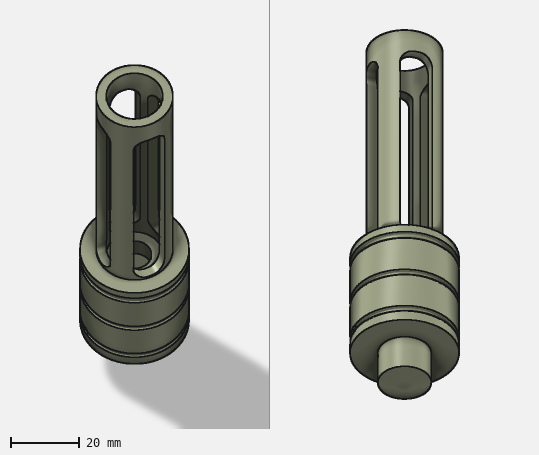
import cadquery as cq

total_height = 124.5
body_diameter = 32.0
body_bottom = 13.5
body_top = 48.7
spigot_diameter = 15.7
spigot_tip_height = 2.5
cage_diameter = 22.5
bore_diameter = 16.5
bore_floor = 45.8
center_hole_diameter = 10.0
center_hole_depth = 6.2
window_width = 10.0
window_bottom = 49.4
window_top = 116.9
window_corner_radius = 4.0
cross_hole_diameter = 2.5

groove_depth = 0.9
lower_groove = (16.8, 18.7)
middle_groove = (30.3, 32.1)
upper_groove = (43.8, 46.1)
grooves = (lower_groove, middle_groove, upper_groove)
cross_hole_height = sum(lower_groove) / 2


def turned_outline():
    """Revolve the outer profile: pointed spigot, grooved body and cage tube."""
    body_radius = body_diameter / 2
    spigot_radius = spigot_diameter / 2
    cage_radius = cage_diameter / 2
    profile = (
        cq.Workplane("XZ")
        .moveTo(0, 0)
        .lineTo(spigot_radius, spigot_tip_height)
        .lineTo(spigot_radius, body_bottom)
        .lineTo(body_radius, body_bottom)
    )
    for lower, upper in grooves:
        groove_bottom = (body_radius - groove_depth, (lower + upper) / 2)
        profile = profile.lineTo(body_radius, lower)
        profile = profile.threePointArc(groove_bottom, (body_radius, upper))
    profile = (
        profile.lineTo(body_radius, body_top)
        .lineTo(cage_radius, body_top)
        .lineTo(cage_radius, total_height)
        .lineTo(0, total_height)
        .close()
    )
    return profile.revolve(360, (0, 0, 0), (0, 1, 0))


def vertical_hole(diameter, bottom, top):
    return cq.Workplane("XY").workplane(offset=bottom).circle(diameter / 2).extrude(top - bottom)


def window_cutter():
    """Rounded slot running along Y through both walls of the cage."""
    window_height = window_top - window_bottom
    return (
        cq.Workplane("XY")
        .box(window_width, body_diameter, window_height)
        .edges("|Y")
        .fillet(window_corner_radius)
        .translate((0, 0, (window_top + window_bottom) / 2))
    )


def cross_hole():
    """Small hole along Y through the body at the lower groove."""
    return (
        cq.Workplane("XZ")
        .center(0, cross_hole_height)
        .circle(cross_hole_diameter / 2)
        .extrude(body_diameter / 2, both=True)
    )


result = turned_outline()
result = result.cut(vertical_hole(bore_diameter, bore_floor, total_height))
result = result.cut(vertical_hole(center_hole_diameter, bore_floor - center_hole_depth, bore_floor))
for window_angle in (0, 90):
    result = result.cut(window_cutter().rotate((0, 0, 0), (0, 0, 1), window_angle))
result = result.cut(cross_hole())